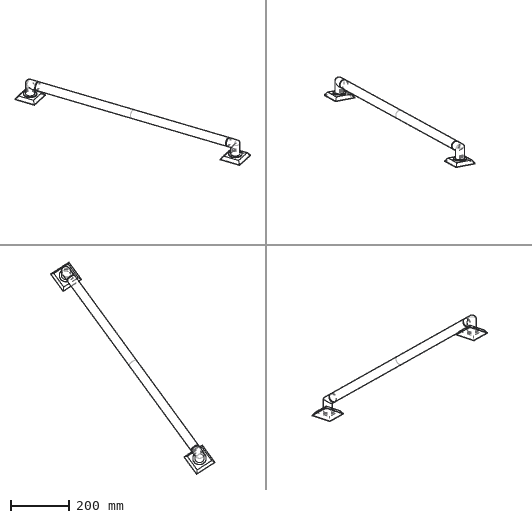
import cadquery as cq
import math

length = 889.0
plate_width = 76.5
height = 70.0

rim_height = 2.0
plate_height = 13.0
slope_inset = 8.0
flange_height = 16.0
flange_radius = 23.0

tube_radius = 16.0
joint_from_end = 67.0
groove_width = 3.0
groove_depth = 1.0

bend_shift = 4.0

post_x = length / 2 - plate_width / 2
tube_z = height - tube_radius
joint_x = length / 2 - joint_from_end


def make_plate():
    """Square plate with sloped sides and a flange, centred on the left post."""
    rim = cq.Workplane("XY").rect(plate_width, plate_width).extrude(rim_height)
    slope_height = plate_height - rim_height
    slope = (
        rim.faces(">Z").workplane()
        .rect(plate_width, plate_width)
        .extrude(slope_height, taper=math.degrees(math.atan2(slope_inset, slope_height)))
    )
    flange = cq.Workplane("XY").circle(flange_radius).extrude(flange_height)
    return slope.union(flange).translate((-post_x, 0, 0))


def make_post():
    """Upright tube cut at 45 degrees along the elbow's mitre."""
    cylinder = cq.Workplane("XY").center(-post_x, 0).circle(tube_radius).extrude(height)
    below_mitre = (
        cq.Workplane("XZ")
        .polyline([
            (-post_x - tube_radius, 0),
            (-post_x + tube_radius, 0),
            (-post_x + tube_radius, tube_z - tube_radius),
            (-post_x - tube_radius, tube_z + tube_radius),
        ])
        .close()
        .extrude(tube_radius, both=True)
    )
    return cylinder.intersect(below_mitre)


def make_half_tube():
    """Left half of the level tube, cut along the same mitre."""
    left_x = -post_x - tube_radius
    cylinder = cq.Workplane("YZ", origin=(left_x, 0, tube_z)).circle(tube_radius).extrude(-left_x)
    above_mitre = (
        cq.Workplane("XZ")
        .polyline([
            (left_x, tube_z + tube_radius),
            (-post_x + tube_radius, tube_z - tube_radius),
            (0, tube_z - tube_radius),
            (0, tube_z + tube_radius),
        ])
        .close()
        .extrude(tube_radius, both=True)
    )
    return cylinder.intersect(above_mitre)


def make_bend():
    """Rounded outer corner: the tube's outer arc turned about the shifted bend line."""
    half_chord = math.sqrt(tube_radius**2 - bend_shift**2)
    return (
        cq.Workplane("XY")
        .moveTo(0, -half_chord)
        .threePointArc((-tube_radius + bend_shift, 0), (0, half_chord))
        .close()
        .revolve(90, (0, 0), (0, 1))
        .translate((-post_x - bend_shift, 0, tube_z + bend_shift))
    )


def make_corner_block():
    """Sharp mitre corner that the rounded bend replaces."""
    return (
        cq.Workplane("XY")
        .box(tube_radius, 2 * tube_radius, tube_radius, centered=(False, True, False))
        .translate((-post_x - bend_shift - tube_radius, 0, tube_z + bend_shift))
    )


def make_groove():
    """Shallow ring groove where the elbow meets the tube."""
    return (
        cq.Workplane("YZ", origin=(-joint_x - groove_width / 2, 0, tube_z))
        .circle(tube_radius + groove_depth)
        .circle(tube_radius - groove_depth)
        .extrude(groove_width)
    )


elbow = make_post().union(make_half_tube()).cut(make_corner_block()).union(make_bend())
left_half = elbow.cut(make_groove()).union(make_plate())
result = left_half.union(left_half.mirror("YZ"))